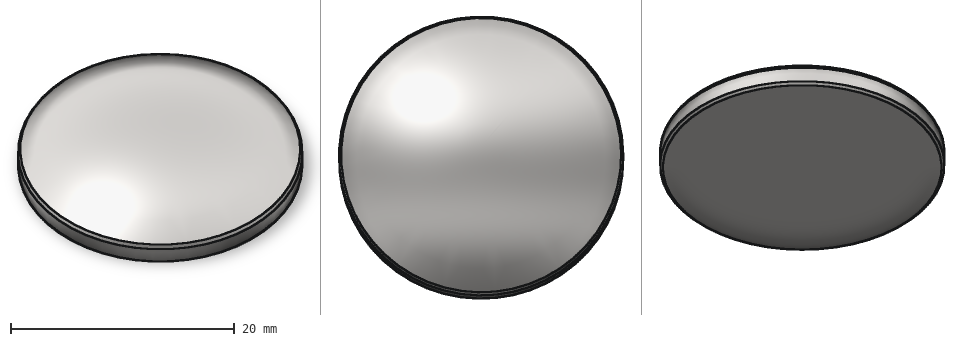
import cadquery as cq

diameter = 25.4
height = 5.82
bottom_chamfer = 0.25
rim_top = 1.75
bevel_width = 0.2
bevel_height = 0.38

radius = diameter / 2
dome_edge_radius = radius - bevel_width
dome_edge_height = rim_top + bevel_height

sag = height - dome_edge_height
dome_radius = (dome_edge_radius**2 + sag**2) / (2 * sag)

arc_mid_radius = dome_edge_radius / 2
arc_mid_height = height - dome_radius + (dome_radius**2 - arc_mid_radius**2) ** 0.5

half_profile = (
    cq.Workplane("XZ")
    .moveTo(0, 0)
    .lineTo(radius - bottom_chamfer, 0)
    .lineTo(radius, bottom_chamfer)
    .lineTo(radius, rim_top)
    .lineTo(dome_edge_radius, dome_edge_height)
    .threePointArc((arc_mid_radius, arc_mid_height), (0, height))
    .close()
)
result = half_profile.revolve(360, (0, 0, 0), (0, 1, 0))